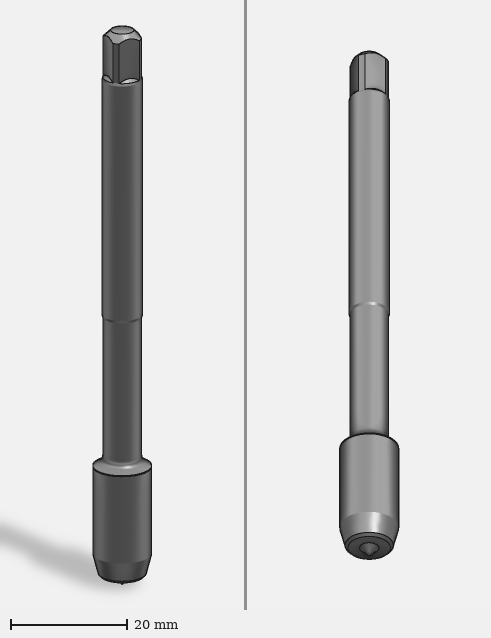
import cadquery as cq
import math

tip_height = 1.65
head_length = 20.0
lead_length = 4.05
neck_start = 22.05
shank_start = 47.9
shank_end = 90.9
total_length = 100.0

head_diameter = 10.14
lead_end_diameter = 8.3
neck_diameter = 6.7
shank_diameter = 7.0
square_corner_diameter = 6.72
square_end_diameter = 4.0

square_width = 5.5
end_bevel = 0.5
shank_edge_length = 0.5
neck_fillet = 1.5
shoulder_slope = math.radians(30)

head_radius = head_diameter / 2
lead_end_radius = lead_end_diameter / 2
neck_radius = neck_diameter / 2
shank_radius = shank_diameter / 2
square_corner_radius = square_corner_diameter / 2
square_end_radius = square_end_diameter / 2
square_half_width = square_width / 2

square_start = shank_end + shank_edge_length + square_corner_radius - square_half_width


def fillet_point(angle):
    """Point on the neck fillet, at an angle below horizontal as seen from the fillet's centre."""
    radius = neck_radius + neck_fillet * (1 - math.cos(angle))
    height = neck_start - neck_fillet * math.sin(angle)
    return radius, height


def revolve_about_z(outline):
    """Turn a (radius, height) outline, closed along the axis, into a solid."""
    return outline.close().revolve(360, (0, 0, 0), (0, 1, 0))


def make_cutting_head():
    """Plain threaded section with a tapered lead, a bevelled end and a 45 degree centre tip."""
    outline = cq.Workplane("XZ").polyline([
        (0, -tip_height),
        (tip_height, 0),
        (lead_end_radius - end_bevel, 0),
        (lead_end_radius, end_bevel),
        (head_radius, lead_length),
        (head_radius, head_length),
        (0, head_length),
    ])
    return revolve_about_z(outline)


def make_turned_shank():
    """Shoulder, filleted neck and shank, with a round end to be milled square."""
    fillet_sweep = math.pi / 2 - shoulder_slope
    fillet_end = fillet_point(fillet_sweep)
    fillet_middle = fillet_point(fillet_sweep / 2)
    shoulder_rise = (head_radius - fillet_end[0]) * math.tan(shoulder_slope)
    outline = (
        cq.Workplane("XZ")
        .moveTo(0, head_length)
        .lineTo(head_radius, head_length)
        .lineTo(head_radius, fillet_end[1] - shoulder_rise)
        .lineTo(*fillet_end)
        .threePointArc(fillet_middle, (neck_radius, neck_start))
        .lineTo(neck_radius, shank_start - shank_edge_length)
        .lineTo(shank_radius, shank_start)
        .lineTo(shank_radius, shank_end)
        .lineTo(square_corner_radius, shank_end + shank_edge_length)
        .lineTo(square_corner_radius, total_length - (square_corner_radius - square_end_radius))
        .lineTo(square_end_radius, total_length)
        .lineTo(0, total_length)
    )
    return revolve_about_z(outline)


def make_square_cutter():
    """Material removed around the driving square; the flats run out on a 45 degree cone."""
    cutter_radius = head_radius
    run_out = cutter_radius - square_half_width
    ring = revolve_about_z(
        cq.Workplane("XZ").polyline([
            (0, square_start + square_half_width),
            (cutter_radius, square_start - run_out),
            (cutter_radius, total_length),
            (0, total_length),
        ])
    )
    square_bar = (
        cq.Workplane("XY")
        .workplane(offset=square_start - run_out)
        .rect(square_width, square_width)
        .extrude(total_length)
    )
    return ring.cut(square_bar)


cutting_head = make_cutting_head()
shank = make_turned_shank().cut(make_square_cutter())

result = cq.Compound.makeCompound([cutting_head.val(), shank.val()])